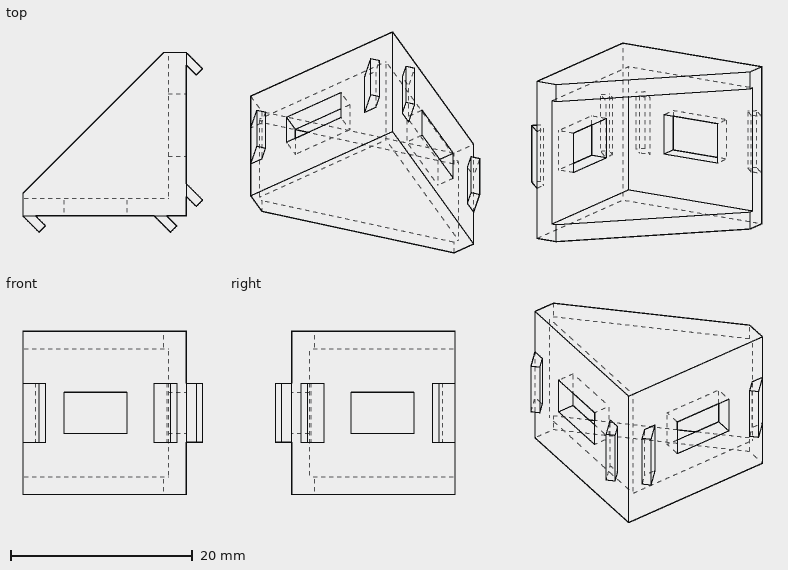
import cadquery as cq
import math

SIZE = 18.0
END_WIDTH = 2.5
WALL = 1.95
SLOT_LENGTH = 6.9
SLOT_HEIGHT = 4.5
SLOT_FROM_CORNER = 10.0
TAB_REACH = 1.8
TAB_THICKNESS = 1.0
TAB_HEIGHT = 6.5
TAB_SPACING = 14.45

MID_HEIGHT = SIZE / 2
SLOT_X = SIZE - SLOT_FROM_CORNER
TAB_STEP = TAB_THICKNESS / math.sqrt(2)


def mirror_to_other_leg(point):
    """Reflect a plan point across the diagonal that swaps the two legs."""
    x, y = point
    return (SIZE - y, SIZE - x)


def make_body():
    """Triangular block with a flat at the free end of each leg."""
    outline = [
        (0, 0),
        (SIZE, 0),
        (SIZE, SIZE),
        (SIZE - END_WIDTH, SIZE),
        (0, END_WIDTH),
    ]
    return cq.Workplane("XY").polyline(outline).close().extrude(SIZE)


def make_pocket():
    """Space between the legs and the cheeks, open towards the sloping side."""
    pocket_length = SIZE - WALL
    pocket_height = SIZE - 2 * WALL
    return cq.Workplane("XY").box(
        pocket_length, pocket_length, pocket_height, centered=False
    ).translate((0, WALL, WALL))


def make_slots():
    """One rectangular bolt slot through each leg."""
    slot_x, slot_y = mirror_to_other_leg((SLOT_X, WALL / 2))
    front_slot = cq.Workplane("XY").box(SLOT_LENGTH, WALL, SLOT_HEIGHT)
    side_slot = cq.Workplane("XY").box(WALL, SLOT_LENGTH, SLOT_HEIGHT)
    front_slot = front_slot.translate((SLOT_X, WALL / 2, MID_HEIGHT))
    side_slot = side_slot.translate((slot_x, slot_y, MID_HEIGHT))
    return front_slot.union(side_slot)


def extrude_tab(outline):
    """Tab with the given plan outline, centred on the bracket height."""
    bottom = MID_HEIGHT - TAB_HEIGHT / 2
    return cq.Workplane("XY").workplane(offset=bottom).polyline(outline).close().extrude(TAB_HEIGHT)


def front_tab_outline(start_x):
    """Plan of a tab leaning 45 degrees out of the leg along X."""
    return [
        (start_x, 0),
        (start_x + TAB_REACH, -TAB_REACH),
        (start_x + TAB_REACH + TAB_STEP, -TAB_REACH + TAB_STEP),
        (start_x + 2 * TAB_STEP, 0),
    ]


result = make_body().cut(make_pocket()).cut(make_slots())
for tab_start in (0, TAB_SPACING):
    front_outline = front_tab_outline(tab_start)
    side_outline = [mirror_to_other_leg(point) for point in front_outline]
    result = result.union(extrude_tab(front_outline))
    result = result.union(extrude_tab(side_outline))